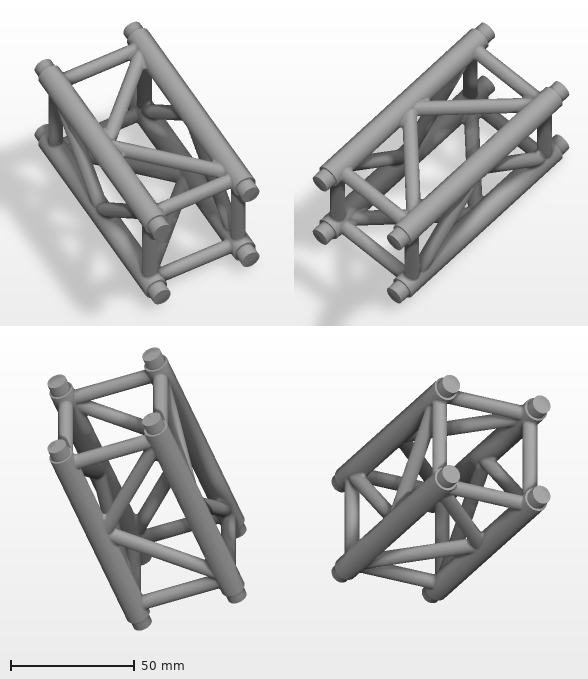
import cadquery as cq

overall_length = 100.0
overall_height = 51.0
chord_diameter = 10.0
chord_length = 90.0
spigot_diameter = 8.0

brace_diameter = 6.0
post_x = 39.5
left_diagonal_x = -19.2
right_diagonal_x = 17.5
weld_radius = 1.0

chord_offset = (overall_height - chord_diameter) / 2
side_count = 4


def rod(start, end, diameter):
    """Round bar between two points."""
    start_point = cq.Vector(*start)
    axis = cq.Vector(*end) - start_point
    return cq.Solid.makeCylinder(diameter / 2, axis.Length, start_point, axis)


def lengthwise_rod(y, z, length, diameter):
    """Bar parallel to X, centred on mid-length."""
    return rod((-length / 2, y, z), (length / 2, y, z), diameter)


def web_brace(bottom_x, top_x):
    """Bar on the -Y side from the axis of the lower chord to that of the upper chord."""
    bottom = (bottom_x, -chord_offset, -chord_offset)
    top = (top_x, -chord_offset, chord_offset)
    return rod(bottom, top, brace_diameter)


def side_web():
    """Two posts and a V of 45 degree diagonals on the -Y side."""
    return [
        web_brace(-post_x, -post_x),
        web_brace(post_x, post_x),
        web_brace(left_diagonal_x + chord_offset, left_diagonal_x - chord_offset),
        web_brace(right_diagonal_x - chord_offset, right_diagonal_x + chord_offset),
    ]


def is_weld_seam(edge):
    """Joints between bars are free curves; bar ends and seams are circles and lines."""
    return edge.geomType() not in ("LINE", "CIRCLE")


bars = []
for y in (-chord_offset, chord_offset):
    for z in (-chord_offset, chord_offset):
        bars.append(lengthwise_rod(y, z, chord_length, chord_diameter))
        bars.append(lengthwise_rod(y, z, overall_length, spigot_diameter))

origin = cq.Vector(0, 0, 0)
x_direction = cq.Vector(1, 0, 0)
for side in range(side_count):
    turn = -side * 360 / side_count
    for brace in side_web():
        bars.append(brace.rotate(origin, x_direction, turn))

frame = cq.Workplane(obj=bars[0].fuse(*bars[1:]))

weld_seams = [edge for edge in frame.edges().vals() if is_weld_seam(edge)]
welded_frame = frame.newObject(weld_seams).fillet(weld_radius)

result = cq.Workplane(obj=welded_frame.solids().val())